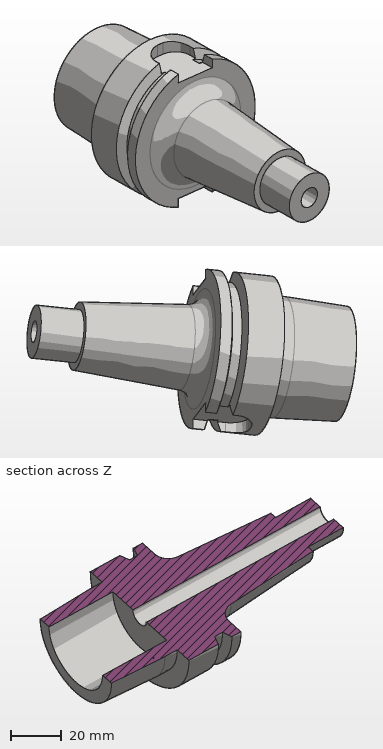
import cadquery as cq
import math

length = 125.3
shank_taper_end = 25.7
collar_start = 31.8
groove_start = 46.6
groove_floor_start = 48.1
groove_floor_end = 51.9
groove_end = 53.3
collar_end = 57.9
nose_end = 107.9

shank_tip_radius = 22.8
shank_radius = 24.0
collar_radius = 31.51
groove_radius = 27.3
nose_root_radius = 16.9
nose_tip_radius = 13.5
spigot_radius = 10.5
blend_radius = 6.9

socket_radius = 17.0
socket_depth = collar_start
through_radius = 4.3

slot_start = 37.1
slot_width = 17.8
slot_corner_radius = 7.5
slot_floor_height = 26.3

blend_center_x = collar_end + blend_radius
nose_angle = math.atan((nose_root_radius - nose_tip_radius) / (nose_end - collar_end - blend_radius))
blend_end_x = blend_center_x - blend_radius * math.sin(nose_angle)
blend_end_r = nose_tip_radius + (nose_end - blend_end_x) * math.tan(nose_angle)
blend_center_r = blend_end_r + blend_radius * math.cos(nose_angle)
blend_mid_angle = (math.pi / 2 - nose_angle) / 2
blend_mid = (
    blend_center_x - blend_radius * math.cos(blend_mid_angle),
    blend_center_r - blend_radius * math.sin(blend_mid_angle),
)


def turned_body():
    """Half profile (X, radius) revolved about the X axis."""
    profile = (
        cq.Workplane("XY")
        .moveTo(0, 0)
        .lineTo(0, shank_tip_radius)
        .lineTo(shank_taper_end, shank_radius)
        .lineTo(collar_start, shank_radius)
        .lineTo(collar_start, collar_radius)
        .lineTo(groove_start, collar_radius)
        .lineTo(groove_floor_start, groove_radius)
        .lineTo(groove_floor_end, groove_radius)
        .lineTo(groove_end, collar_radius)
        .lineTo(collar_end, collar_radius)
        .lineTo(collar_end, blend_center_r)
        .threePointArc(blend_mid, (blend_end_x, blend_end_r))
        .lineTo(nose_end, nose_tip_radius)
        .lineTo(nose_end, spigot_radius)
        .lineTo(length, spigot_radius)
        .lineTo(length, 0)
        .close()
    )
    return profile.revolve(360, (0, 0, 0), (1, 0, 0))


def bore(radius, depth):
    """Cylinder along X from the shank end."""
    return cq.Workplane("YZ").circle(radius).extrude(depth)


def drive_slot():
    """Flat-floored slot with rounded inner corners, open at the nose side of the collar."""
    return (
        cq.Workplane("XY")
        .box(collar_end - slot_start, slot_width, collar_radius - slot_floor_height,
             centered=(False, True, False))
        .edges("|Z and <X")
        .fillet(slot_corner_radius)
        .translate((slot_start, 0, slot_floor_height))
    )


result = turned_body().cut(bore(socket_radius, socket_depth)).cut(bore(through_radius, length))
for side_angle in (0, 180):
    result = result.cut(drive_slot().rotate((0, 0, 0), (1, 0, 0), side_angle))